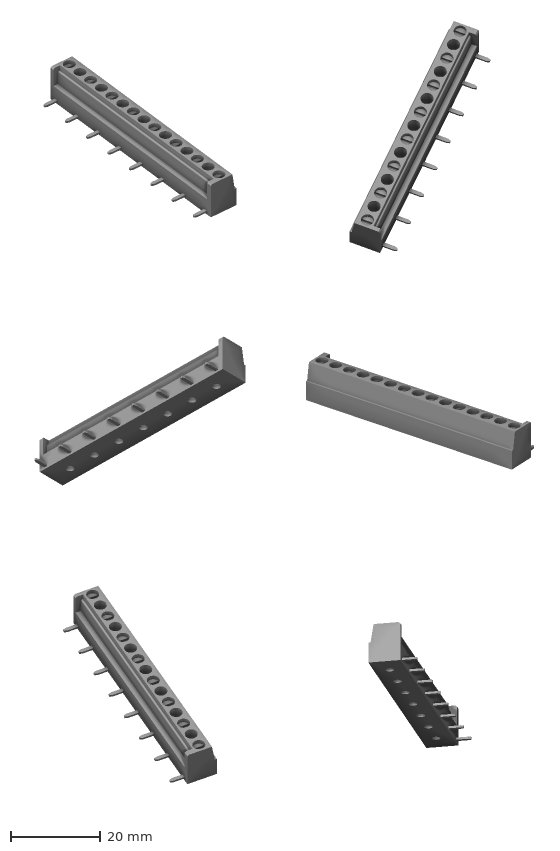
import cadquery as cq
import math

LENGTH = 57.15
DEPTH = 7.4
HEIGHT = 9.1

POLES = 8
PITCH = LENGTH / (POLES - 0.5)
FIRST_POLE_X = -PITCH * (POLES - 1) / 2
LAST_POLE_X = -FIRST_POLE_X

FOOT_HEIGHT = 4.75
LEDGE_DEPTH = 0.5
BACK_LEAN = 0.7
FRONT_CHAMFER = 0.35

LEFT_WALL = 1.0
RIGHT_WALL = 1.4
RECESS_FLOOR_Z = 4.25
RECESS_FLOOR_DEPTH = 1.25
SHELF_Z = 7.7
SHELF_ROUND = 0.35
SHELF_FRONT_DEPTH = 1.4
SHELF_BACK_DEPTH = 1.85
RECESS_TOP_DEPTH = 1.95

HOLE_Y = 3.85
HOLE_DIAMETER = 2.9
SCREW_RECESS = 1.1
SLOT_WIDTH = 0.7
SLOT_DEPTH = 0.7
WIRE_BORE_DIAMETER = 2.0
WIRE_COUNTERBORE = 4.6

PIN_WIDTH = 0.9
PIN_THICKNESS = 0.5
PIN_LENGTH = 3.45
PIN_Z = 0.5
PIN_TIP_LENGTH = 0.7
PIN_TIP_WIDTH = 0.45


def housing_block():
    ledge_y = DEPTH - LEDGE_DEPTH
    outline = [
        (0, 0),
        (DEPTH, 0),
        (DEPTH, FOOT_HEIGHT),
        (ledge_y, FOOT_HEIGHT),
        (ledge_y - BACK_LEAN, HEIGHT),
        (FRONT_CHAMFER, HEIGHT),
        (0, HEIGHT - FRONT_CHAMFER),
    ]
    return cq.Workplane("YZ", origin=(-LENGTH / 2, 0, 0)).polyline(outline).close().extrude(LENGTH)


def front_recess():
    """Space in front of two steep faces, with a round-edged shelf between them."""
    round_y = SHELF_FRONT_DEPTH + SHELF_ROUND
    round_z = SHELF_Z - SHELF_ROUND
    diagonal = SHELF_ROUND * math.sqrt(0.5)
    return (
        cq.Workplane("YZ", origin=(LEFT_WALL - LENGTH / 2, 0, 0))
        .moveTo(0, RECESS_FLOOR_Z)
        .lineTo(RECESS_FLOOR_DEPTH, RECESS_FLOOR_Z)
        .lineTo(SHELF_FRONT_DEPTH, round_z)
        .threePointArc((round_y - diagonal, round_z + diagonal), (round_y, SHELF_Z))
        .lineTo(SHELF_BACK_DEPTH, SHELF_Z)
        .lineTo(RECESS_TOP_DEPTH, HEIGHT)
        .lineTo(0, HEIGHT)
        .close()
        .extrude(LENGTH - LEFT_WALL - RIGHT_WALL)
    )


def round_opening(x, diameter, depth):
    """Cylinder going down from the top face."""
    return cq.Workplane("XY", origin=(x, HOLE_Y, HEIGHT - depth)).circle(diameter / 2).extrude(depth)


def screw_opening(x):
    """Round recess down to the screw head, plus the slot across the head."""
    full_depth = SCREW_RECESS + SLOT_DEPTH
    slot = cq.Workplane("XY", origin=(x, HOLE_Y, HEIGHT - full_depth)).rect(SLOT_WIDTH, HOLE_DIAMETER)
    slot = slot.extrude(full_depth).intersect(round_opening(x, HOLE_DIAMETER, full_depth))
    return round_opening(x, HOLE_DIAMETER, SCREW_RECESS).union(slot)


def wire_opening(x):
    """Through bore with a wide counterbore from the top."""
    bore = round_opening(x, WIRE_BORE_DIAMETER, HEIGHT)
    return bore.union(round_opening(x, HOLE_DIAMETER, WIRE_COUNTERBORE))


def solder_pin(x):
    """Flat pin pointing forward, narrowing at the tip."""
    half_width = PIN_WIDTH / 2
    half_tip = PIN_TIP_WIDTH / 2
    shoulder_y = PIN_TIP_LENGTH - PIN_LENGTH
    outline = [
        (-half_width, 0),
        (-half_width, shoulder_y),
        (-half_tip, -PIN_LENGTH),
        (half_tip, -PIN_LENGTH),
        (half_width, shoulder_y),
        (half_width, 0),
    ]
    return cq.Workplane("XY", origin=(x, 0, PIN_Z)).polyline(outline).close().extrude(PIN_THICKNESS)


def terminal_strip():
    """The whole strip, before it is divided into its sections."""
    strip = housing_block().cut(front_recess())
    for pole in range(POLES):
        x = FIRST_POLE_X + pole * PITCH
        strip = strip.cut(screw_opening(x)).union(solder_pin(x))
    for gap in range(POLES - 1):
        strip = strip.cut(wire_opening(FIRST_POLE_X + (gap + 0.5) * PITCH))
    return strip


def section(strip, x_start, x_end):
    """The part of the strip between two planes across X."""
    slab = cq.Workplane("XY", origin=(x_start, -PIN_LENGTH, 0))
    slab = slab.box(x_end - x_start, DEPTH + PIN_LENGTH, HEIGHT, centered=False)
    return strip.intersect(slab).solids()


whole_strip = terminal_strip()
left_end = section(whole_strip, -LENGTH / 2, FIRST_POLE_X)
middle = section(whole_strip, FIRST_POLE_X, LAST_POLE_X)
right_end = section(whole_strip, LAST_POLE_X, LENGTH / 2)

result = cq.Compound.makeCompound([left_end.val(), middle.val(), right_end.val()])